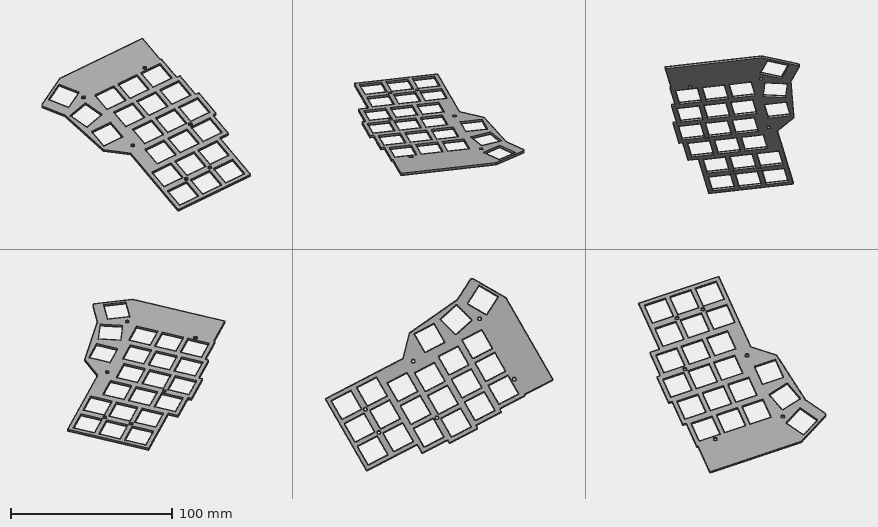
import cadquery as cq
import math

width = 129.99
depth = 87.72
thickness = 1.58

cutout = 14.0
column_pitch = 18.05
row_pitch = 16.95
row_count = 3
edge_margin = 2.75
step_margin = 2.95
right_margin = 2.55
key_reach = cutout / 2 + edge_margin
step_reach = cutout / 2 + step_margin

column_stagger = 2.375
outer_column_drop = 8.85
column_drops = [
    2 * column_stagger,
    column_stagger,
    0,
    column_stagger,
    outer_column_drop,
    outer_column_drop,
]
last_column_x = width - cutout / 2 - right_margin
column_xs = [
    last_column_x - column_pitch * index
    for index in reversed(range(len(column_drops)))
]
column_tops = [depth - drop for drop in column_drops]

thumb_angle_step = 15
thumb_keys = [
    (54.25, 21.6, 0),
    (34.05, 19.0, thumb_angle_step),
    (13.4, 15.75, 2 * thumb_angle_step),
]

controller_top = 82.2
left_edge_bottom = 21.35
thumb_front_length = 16.7
thumb_front_right = (63.7, 12.75)
front_edge_left = 75.2
front_edge_y = column_tops[-1] - 2 * key_reach - (row_count - 1) * row_pitch
thumb_corner_radius = 1.3
inner_corner_radius = 0.65

hole_diameter = 2.3
outer_hole_x = 111.45
upper_outer_hole_y = 60.6
lower_outer_hole_y = 43.3
hole_centers = [
    (21.0, 70.4),
    (21.0, 25.4),
    (75.2, 69.5),
    (70.4, 30.0),
    (outer_hole_x, upper_outer_hole_y),
    (outer_hole_x, lower_outer_hole_y),
]


def offset_point(start, length, angle):
    """Return the point at a distance and direction (degrees) from start."""
    direction = math.radians(angle)
    return (
        start[0] + length * math.cos(direction),
        start[1] + length * math.sin(direction),
    )


thumb_tilt = thumb_keys[-1][2]
left_corner = (0, left_edge_bottom)
tilt_radians = math.radians(thumb_tilt)
corner_rounding_rise = thumb_corner_radius * (math.sin(tilt_radians) + math.cos(tilt_radians) - 1)
thumb_side_length = (left_edge_bottom + corner_rounding_rise) / math.cos(tilt_radians)
thumb_corner = offset_point(left_corner, thumb_side_length, thumb_tilt - 90)
thumb_front_left = offset_point(thumb_corner, thumb_front_length, thumb_tilt)

controller_step_x = column_xs[0] - key_reach
rising_step_xs = [x - step_reach for x in column_xs[1:3]]
falling_step_xs = [x + step_reach for x in column_xs[2:4]]
step_xs = [controller_step_x] + rising_step_xs + falling_step_xs
step_levels = [controller_top] + column_tops[:-1]
steps = list(zip(step_xs, step_levels, step_levels[1:]))


def round_corner(body, corner, radius):
    """Round the vertical edge of the plate that stands on a corner point."""
    selector = cq.selectors.NearestToPointSelector((*corner, thickness / 2))
    return body.edges("|Z").edges(selector).fillet(radius)


def make_plate():
    outline = [left_corner, thumb_corner, thumb_front_left, thumb_front_right]
    outline += [(front_edge_left, front_edge_y), (width, front_edge_y)]
    outline.append((width, column_tops[-1]))
    for x, left_level, right_level in reversed(steps):
        outline += [(x, right_level), (x, left_level)]
    outline.append((0, controller_top))
    plate = cq.Workplane("XY").polyline(outline).close().extrude(thickness)
    plate = round_corner(plate, thumb_corner, thumb_corner_radius)
    for x, left_level, right_level in steps:
        inner_corner = (x, min(left_level, right_level))
        plate = round_corner(plate, inner_corner, inner_corner_radius)
    return plate


def switch_cutter(x, y, angle=0):
    cutter = cq.Workplane("XY").rect(cutout, cutout).extrude(thickness)
    return cutter.rotate((0, 0, 0), (0, 0, 1), angle).translate((x, y, 0))


def cut_switches(plate):
    for x, top in zip(column_xs, column_tops):
        for row in range(row_count):
            plate = plate.cut(switch_cutter(x, top - key_reach - row * row_pitch))
    for x, y, angle in thumb_keys:
        plate = plate.cut(switch_cutter(x, y, angle))
    return plate


def cut_mounting_holes(plate):
    holes = cq.Workplane("XY").pushPoints(hole_centers)
    return plate.cut(holes.circle(hole_diameter / 2).extrude(thickness))


result = cut_mounting_holes(cut_switches(make_plate()))